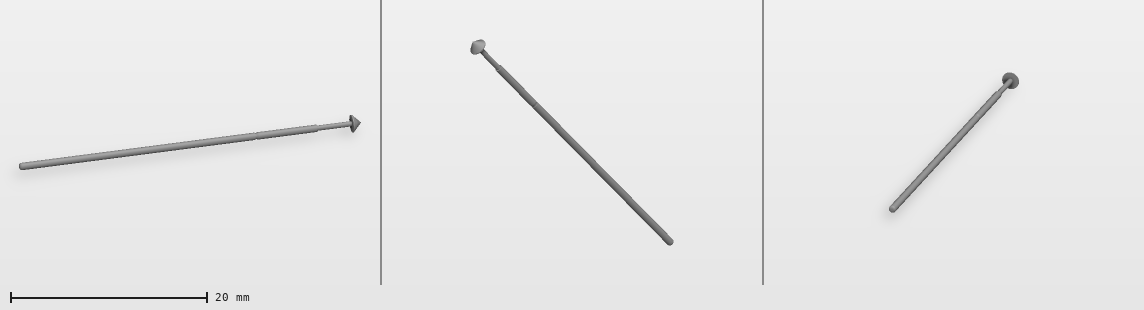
import cadquery as cq
import math

total_length = 36.0
head_diameter = 1.8

cone_height = head_diameter / 2
rim_thickness = 0.1

plunger_diameter = 0.55
plunger_length = 3.67

barrel_diameter = 0.75
groove_depth = 0.07
groove_taper_length = 0.2
groove_neck_length = 0.1
groove_distance = 6.2
tail_round = 0.25

tip_y = total_length / 2
rim_top_y = tip_y - cone_height
head_base_y = rim_top_y - rim_thickness
barrel_mouth_y = head_base_y - plunger_length
groove_top_y = barrel_mouth_y - groove_distance
groove_neck_y = groove_top_y - groove_taper_length
groove_bottom_y = groove_neck_y - groove_neck_length
tail_end_y = -total_length / 2
tail_start_y = tail_end_y + tail_round

head_radius = head_diameter / 2
plunger_radius = plunger_diameter / 2
barrel_radius = barrel_diameter / 2
neck_radius = barrel_radius - groove_depth
tail_flat_radius = barrel_radius - tail_round

round_mid_offset = tail_round * math.sin(math.radians(45))
round_mid = (tail_flat_radius + round_mid_offset, tail_start_y - round_mid_offset)

profile = (
    cq.Workplane("XY")
    .moveTo(0, tip_y)
    .lineTo(head_radius, rim_top_y)
    .lineTo(head_radius, head_base_y)
    .lineTo(plunger_radius, head_base_y)
    .lineTo(plunger_radius, barrel_mouth_y)
    .lineTo(barrel_radius, barrel_mouth_y)
    .lineTo(barrel_radius, groove_top_y)
    .lineTo(neck_radius, groove_neck_y)
    .lineTo(neck_radius, groove_bottom_y)
    .lineTo(barrel_radius, groove_bottom_y)
    .lineTo(barrel_radius, tail_start_y)
    .threePointArc(round_mid, (tail_flat_radius, tail_end_y))
    .lineTo(0, tail_end_y)
    .close()
)

result = profile.revolve(360, (0, 0, 0), (0, 1, 0))